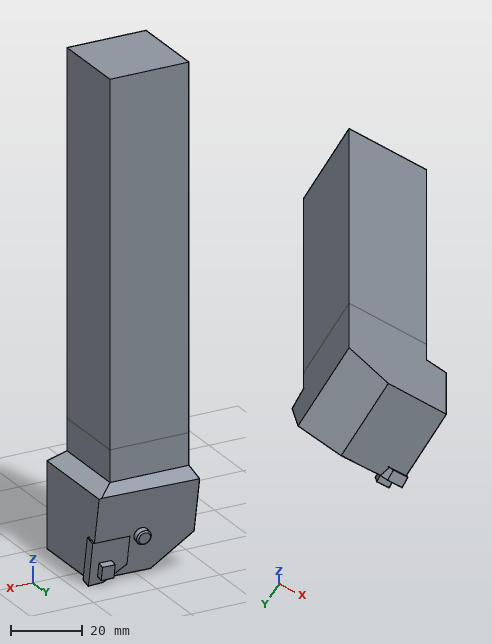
import cadquery as cq

total_length = 152.4
shank_side = 25.0
shank_bottom = 40.0
head_width = 31.4
head_depth = 31.2
head_bottom = 1.7
shoulder_root = 30.0
shoulder_edge = 28.3
heel_width = 12.6
heel_height = 9.6

rake_lean = 0.19
rake_fall = 0.025

insert_thickness = 3.4
insert_tip_x = 31.9
insert_side = 14.2
insert_nose = 4.5
insert_nose_rise = 0.3
insert_width = 11.6
insert_bevel_height = 4.9

breaker_width = 4.0
breaker_length = 4.4
breaker_height = 2.3
breaker_tip_gap = 2.7

screw_x = 16.8
screw_z = 13.7
screw_head_diameter = 4.5
screw_head_height = 2.1
screw_head_chamfer = 0.5
screw_shaft_diameter = 3.0
screw_shaft_length = 9.1


def rake_plane(x, z):
    """Plane on the rake face at (x, z); local +X is along X, local +Y points to the tip."""
    y = head_depth - rake_lean * (shoulder_edge - z) - rake_fall * x
    return cq.Plane(
        origin=(x, y, z),
        xDir=(1, -rake_fall, 0),
        normal=(rake_fall, 1, -rake_lean),
    )


def make_shank():
    return (
        cq.Workplane("XY", origin=(0, 0, shank_bottom))
        .rect(shank_side, shank_side, centered=False)
        .extrude(total_length - shank_bottom)
    )


def make_head():
    front_outline = [
        (0, shank_bottom),
        (shank_side, shank_bottom),
        (shank_side, shoulder_root),
        (head_width, shoulder_edge),
        (head_width, head_bottom),
        (heel_width, head_bottom),
        (0, head_bottom + heel_height),
    ]
    side_outline = [
        (0, shank_bottom),
        (shank_side, shank_bottom),
        (shank_side, shoulder_root),
        (head_depth, shoulder_edge),
        (head_depth, head_bottom),
        (0, head_bottom),
    ]
    head = cq.Workplane("XZ").polyline(front_outline).close().extrude(-head_depth)
    side = cq.Workplane("YZ").polyline(side_outline).close().extrude(head_width)
    above_rake = (
        cq.Workplane(rake_plane(0, shoulder_edge))
        .rect(total_length, 2 * shoulder_edge)
        .extrude(head_depth)
    )
    above_rake = above_rake.intersect(
        cq.Workplane("XY").box(total_length, total_length, 2 * shoulder_root)
    )
    return head.intersect(side).cut(above_rake)


def make_insert():
    outline = [
        (0, 0),
        (0, -insert_side),
        (-insert_width, -insert_side),
        (-insert_width, -insert_bevel_height),
        (-insert_nose, -insert_nose_rise),
    ]
    plane = rake_plane(insert_tip_x, 0)
    plate = cq.Workplane(plane).polyline(outline).close().extrude(-insert_thickness)
    breaker = (
        cq.Workplane(plane)
        .center(-insert_nose, -breaker_tip_gap - breaker_length / 2)
        .rect(breaker_width, breaker_length)
        .extrude(breaker_height)
    )
    return plate.union(breaker)


def make_screw():
    plane = rake_plane(screw_x, screw_z)
    head = (
        cq.Workplane(plane)
        .circle(screw_head_diameter / 2)
        .extrude(screw_head_height)
        .faces(cq.selectors.DirectionMinMaxSelector(plane.zDir, True))
        .chamfer(screw_head_chamfer)
    )
    shaft = cq.Workplane(plane).circle(screw_shaft_diameter / 2).extrude(-screw_shaft_length)
    return head.union(shaft)


insert = make_insert()
screw = make_screw()

holder = make_shank().union(make_head(), clean=False)
holder = holder.cut(insert, clean=False).cut(screw, clean=False)

result = cq.Compound.makeCompound([body.solids().val() for body in (holder, insert, screw)])